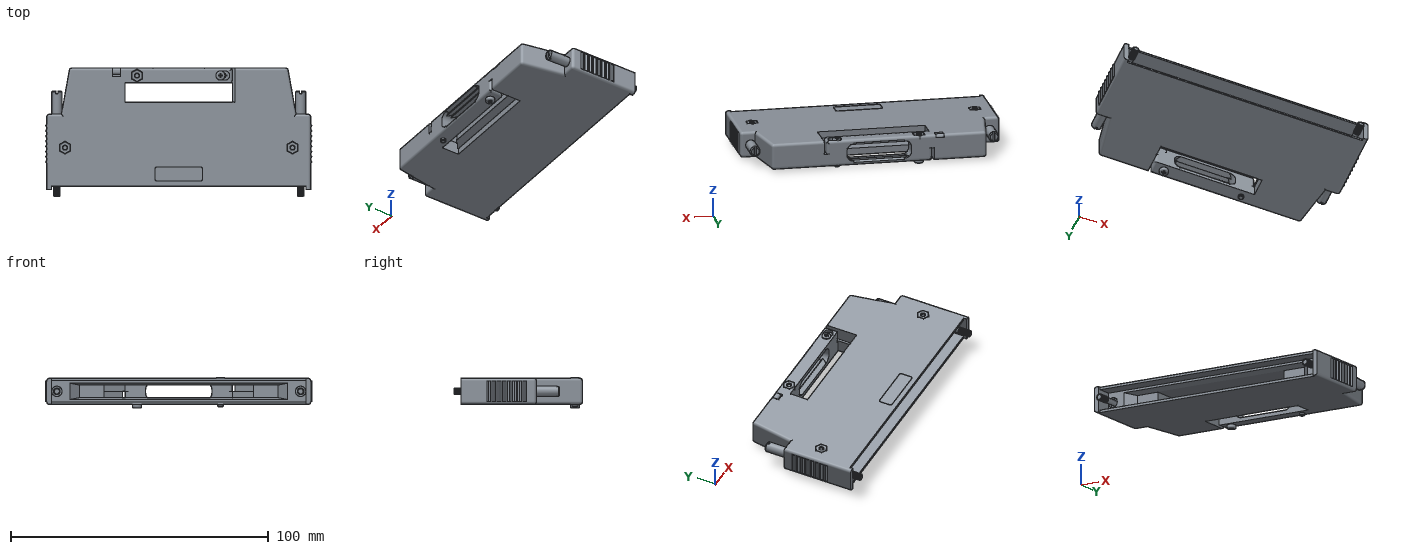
import cadquery as cq
import math


shell_height = 10.2
half_height = shell_height / 2
overall_width = 103.2
rib_height = 0.4
half_width = overall_width / 2 - rib_height
shell_depth = 45.9
shoulder_y = 28.0
neck_half_width = 45.5
back_half_width = 42.3
edge_radius = 1.1
cheek_thickness = 1.95
cheek_reach = 1.25

plate_thickness = 1.0
recess_depth = 6.0
recess_half_width = half_width - cheek_thickness
mouth_width = 84.4
mouth_height = 6.4
throat_width = 76.8
throat_height = 4.8
throat_y = 9.8
channel_half_width = 29.0
funnel_y = 28.0
funnel_end_y = 33.0

opening_front_y = 32.65
rail_front_y = 40.15
opening_near_x = 20.75
opening_far_x = 21.75
rail_radius = 1.0
window_width = 25.6
window_height = 7.0
window_corner_radius = 2.8
tooth_count = 2
tooth_pitch = 2.05
tooth_height = 0.6
teeth_start_y = 40.35
window_flare = 0.45

notch_center_x = -24.1
notch_width = 3.2
notch_front_y = 42.6
notch_floor_length = 0.7
notch_depth = 1.0
notch_lip_drop = 0.1

rib_count = 8
rib_pitch = 2.0
rib_base = 1.45
rib_middle_y = 16.5

label_width = 18.5
label_length = 5.4
label_center_y = 4.8
label_depth = 0.15
label_corner_radius = 0.8

jack_x = 47.25
jack_diameter = 4.0
jack_back_y = 37.05
jack_slot_width = 0.8
jack_slot_depth = 1.1
jack_chamfer = 0.5
jack_hole_depth = 2.0
shaft_diameter = 2.2
thread_diameter = 2.6
thread_root_diameter = 2.15
thread_pitch = 0.3
thread_turns = 15
jack_tip_y = -3.95
tip_chamfer = 0.3

nut_y = 15.0
nut_x = 44.1
nut_flats = 4.0
nut_pocket_flats = 4.35
nut_depth = 1.6
nut_bore = 1.95
nut_bore_depth = 0.8
bolt_end_diameter = 1.6
bolt_end_drop = 0.3

clamp_x = 16.2
clamp_y = 42.95
head_diameter = 3.6
head_height = 1.4
head_radius = 0.6
upper_head_rise = 0.3
slot_shift = 1.75
clamp_tip_diameter = 2.2
clamp_tip_length = 0.95
cross_length = 1.6
cross_width = 0.45
cross_depth = 0.6

overlap = 0.5


def box(x0, x1, y0, y1, z0, z1):
    """Axis-aligned block between the given limits."""
    return cq.Workplane("XY").box(x1 - x0, y1 - y0, z1 - z0, centered=False).translate((x0, y0, z0))


def other_half(shape):
    """Half a turn about Y, from one half shell to the other."""
    return shape.rotate((0, 0, 0), (0, 1, 0), 180)


def mirrored_pair(shape):
    """The shape together with its mirror image across X = 0."""
    return shape.union(shape.mirror("YZ"))


def shell_block():
    corners = [
        (-half_width, -cheek_reach),
        (-half_width, shoulder_y),
        (-neck_half_width, shoulder_y),
        (-back_half_width, shell_depth),
        (back_half_width, shell_depth),
        (neck_half_width, shoulder_y),
        (half_width, shoulder_y),
        (half_width, -cheek_reach),
    ]
    block = cq.Workplane("XY", origin=(0, 0, -half_height)).polyline(corners).close().extrude(shell_height)
    outer_corners = [
        (side * x, y)
        for side in (-1, 1)
        for x, y in ((half_width, shoulder_y), (back_half_width, shell_depth))
    ]
    for x, y in outer_corners:
        block = block.edges(cq.selectors.NearestToPointSelector((x, y, 0))).fillet(edge_radius)
    rims = block.faces("|Z").edges().filter(lambda edge: edge.Center().y > 0)
    block = block.newObject(rims.vals()).fillet(edge_radius)
    between_cheeks = box(
        -recess_half_width, recess_half_width, -cheek_reach, 0, -half_height, half_height
    )
    return block.cut(between_cheeks)


def front_recess():
    inner_half_height = half_height - plate_thickness
    return box(
        -recess_half_width, recess_half_width, -cheek_reach, recess_depth,
        -inner_half_height, inner_half_height,
    )


def cavity():
    mouth = (
        cq.Workplane("XZ", origin=(0, recess_depth, 0))
        .rect(mouth_width, mouth_height)
        .workplane(offset=-(throat_y - recess_depth))
        .rect(throat_width, throat_height)
        .loft(ruled=True)
    )
    outline = [
        (-channel_half_width, throat_y - overlap),
        (-channel_half_width, funnel_y),
        (-opening_near_x, funnel_end_y),
        (opening_far_x, funnel_end_y),
        (channel_half_width, funnel_y),
        (channel_half_width, throat_y - overlap),
    ]
    upper_channel = cq.Workplane("XY").polyline(outline).close().extrude(throat_height / 2)
    return mouth.union(upper_channel).union(other_half(upper_channel))


def upper_opening():
    """Opening of the upper half: the window in the plate and the gap at the free rail end."""
    plate_window = box(-opening_near_x, opening_far_x, opening_front_y, rail_front_y, 0, half_height)
    rail_bay = box(opening_near_x - 2 * rail_radius, opening_far_x, rail_front_y, shell_depth, 0, half_height)
    rail_end = box(
        opening_near_x - 3 * rail_radius, opening_near_x, rail_front_y, shell_depth, -half_height, half_height
    )
    rail_end = rail_end.faces(">X").edges("|Z or >Z").fillet(rail_radius)
    return plate_window.union(rail_bay.cut(rail_end))


def cable_window():
    length = shell_depth - rail_front_y + 2 * overlap
    window = (
        cq.Workplane("XZ", origin=(0, rail_front_y - overlap, 0))
        .rect(window_width, window_height).extrude(-length)
        .edges("|Y").fillet(window_corner_radius)
    )
    teeth = floor_teeth()
    flare = floor_flare()
    window = window.cut(teeth).cut(other_half(teeth))
    return window.union(flare).union(other_half(flare))


def floor_flare():
    """Sloped stretch of the window floor, from the last tooth down to the back face."""
    floor_z = -window_height / 2
    start_y = teeth_start_y + tooth_count * tooth_pitch
    width = window_width - 2 * window_corner_radius
    profile = [
        (start_y, floor_z + overlap),
        (start_y, floor_z),
        (shell_depth, floor_z - window_flare),
        (shell_depth, floor_z + overlap),
    ]
    return cq.Workplane("YZ", origin=(-width / 2, 0, 0)).polyline(profile).close().extrude(width)


def floor_teeth():
    """Sawtooth gripping the cable: each tooth rises toward the back and ends in an upright step."""
    floor_z = -window_height / 2
    teeth = cq.Workplane("XY")
    for index in range(tooth_count):
        start_y = teeth_start_y + index * tooth_pitch
        crest_y = start_y + tooth_pitch
        profile = [(start_y, floor_z), (crest_y, floor_z + tooth_height), (crest_y, floor_z)]
        tooth = cq.Workplane("YZ", origin=(-window_width / 2, 0, 0)).polyline(profile).close()
        teeth = teeth.union(tooth.extrude(window_width))
    return teeth


def latch_notch():
    """Notch of the upper half, with a rounded lip toward the back face."""
    floor_z = half_height - notch_depth
    lip_radius = notch_depth - notch_lip_drop
    lip_start_y = notch_front_y + notch_floor_length
    lip_end_y = lip_start_y + lip_radius
    lip_z = floor_z + lip_radius
    lip_bend = lip_radius * math.sqrt(0.5)
    back_radius = edge_radius - notch_lip_drop
    back_bend = back_radius * math.sqrt(0.5)
    back_center_y = shell_depth - edge_radius
    back_center_z = half_height - edge_radius
    return (
        cq.Workplane("YZ", origin=(notch_center_x - notch_width / 2, 0, 0))
        .moveTo(notch_front_y, half_height)
        .lineTo(notch_front_y, floor_z)
        .lineTo(lip_start_y, floor_z)
        .threePointArc(
            (lip_end_y - lip_bend, floor_z + lip_bend),
            (lip_end_y, lip_z),
        )
        .lineTo(back_center_y, lip_z)
        .threePointArc(
            (back_center_y + back_bend, back_center_z + back_bend),
            (back_center_y + back_radius, back_center_z),
        )
        .lineTo(shell_depth, back_center_z)
        .lineTo(shell_depth, half_height)
        .close().extrude(notch_width)
    )


def grip_ribs():
    height = shell_height - 2 * edge_radius
    ribs = cq.Workplane("XY")
    for index in range(rib_count):
        y = rib_middle_y + (index - (rib_count - 1) / 2) * rib_pitch
        profile = [
            (half_width - overlap, y - rib_base / 2),
            (half_width, y - rib_base / 2),
            (half_width + rib_height, y),
            (half_width, y + rib_base / 2),
            (half_width - overlap, y + rib_base / 2),
        ]
        rib = cq.Workplane("XY", origin=(0, 0, -height / 2)).polyline(profile).close().extrude(height)
        ribs = ribs.union(rib)
    return mirrored_pair(ribs)


def label_recess():
    return (
        box(
            -label_width / 2, label_width / 2,
            label_center_y - label_length / 2, label_center_y + label_length / 2,
            half_height - label_depth, half_height,
        )
        .edges("|Z").fillet(label_corner_radius)
    )


def hexagon(flats, x, y, depth):
    """Hexagonal block below the upper face, with corners pointing along Y."""
    return (
        cq.Workplane("XY", origin=(x, y, half_height - depth))
        .transformed(rotate=(0, 0, 90))
        .polygon(6, flats / math.cos(math.pi / 6)).extrude(depth)
    )


def disc(diameter, x, y, z0, z1):
    """Upright cylinder between two heights."""
    return cq.Workplane("XY", origin=(x, y, z0)).circle(diameter / 2).extrude(z1 - z0)


def nut_cut(x, y):
    """Gap around a nut, and its bore around the end of the bolt."""
    gap = hexagon(nut_pocket_flats, x, y, nut_depth).cut(hexagon(nut_flats, x, y, nut_depth))
    bore_floor = half_height - nut_bore_depth
    bore = disc(nut_bore, x, y, bore_floor, half_height)
    bolt_end = disc(bolt_end_diameter, x, y, bore_floor, half_height - bolt_end_drop)
    return gap.union(bore.cut(bolt_end))


def cross_cut(x, y, top):
    """Cross recess of a screw, sunk from the given height."""
    long_bar = cq.Workplane("XY").box(cross_length, cross_width, cross_depth)
    bars = long_bar.union(long_bar.rotate((0, 0, 0), (0, 0, 1), 90))
    return bars.translate((x, y, top - cross_depth / 2))


def screw_head(x, y, z0):
    head = disc(head_diameter, x, y, z0, z0 + head_height).faces(">Z").edges().fillet(head_radius)
    return head.cut(cross_cut(x, y, z0 + head_height))


def head_seat():
    """Oblong counterbore of the upper clamp screw."""
    depth = head_height - upper_head_rise
    floor_z = half_height - depth
    length = slot_shift + head_diameter
    seat = (
        cq.Workplane("XY", origin=(clamp_x + slot_shift / 2, clamp_y, floor_z))
        .slot2D(length, head_diameter).extrude(depth)
    )
    return seat.union(cross_cut(clamp_x + slot_shift, clamp_y, floor_z))


def clamp_screws():
    """Upper screw with its tip below the shell, and the head of the screw put in from below."""
    upper_head = screw_head(clamp_x, clamp_y, half_height + upper_head_rise - head_height)
    tip = disc(
        clamp_tip_diameter, clamp_x, clamp_y, -half_height - clamp_tip_length, overlap - half_height
    )
    tip = tip.faces("<Z").chamfer(tip_chamfer)
    lower_head = other_half(screw_head(clamp_x, clamp_y, half_height))
    return upper_head.union(tip).union(lower_head)


def jack_screw():
    """Jack screw at +X: slotted thumb end behind the shoulder, threaded end in front."""
    thumb = (
        cq.Workplane("XZ", origin=(jack_x, shoulder_y - overlap, 0))
        .circle(jack_diameter / 2).extrude(-(jack_back_y - shoulder_y + overlap))
        .faces(">Y").chamfer(jack_chamfer)
    )
    slot = box(
        jack_x - jack_slot_width / 2, jack_x + jack_slot_width / 2,
        jack_back_y - jack_slot_depth, jack_back_y, -jack_diameter, jack_diameter,
    )
    crest = thread_diameter / 2
    root = thread_root_diameter / 2
    shaft = shaft_diameter / 2
    thread_start_y = jack_tip_y + tip_chamfer
    thread_end_y = thread_start_y + thread_turns * thread_pitch
    profile = [(0, jack_tip_y), (crest - tip_chamfer, jack_tip_y), (crest, thread_start_y)]
    for turn in range(thread_turns):
        y = thread_start_y + turn * thread_pitch
        profile.append((root, y + thread_pitch / 2))
        profile.append((crest, y + thread_pitch))
    shaft_back_y = recess_depth + jack_hole_depth + overlap
    profile += [(shaft, thread_end_y), (shaft, shaft_back_y), (0, shaft_back_y)]
    front = cq.Workplane("XY").polyline(profile).close().revolve(360, (0, 0, 0), (0, 1, 0))
    return thumb.cut(slot).union(front.translate((jack_x, 0, 0)))


def jack_hole():
    return (
        cq.Workplane("XZ", origin=(jack_x, recess_depth, 0))
        .circle(jack_diameter / 2).extrude(-jack_hole_depth)
    )


body = shell_block().cut(front_recess()).cut(cavity())
opening = upper_opening()
body = body.cut(opening).cut(other_half(opening)).cut(cable_window())
body = body.cut(latch_notch()).cut(label_recess()).cut(head_seat()).cut(mirrored_pair(jack_hole()))
for x, y in ((-nut_x, nut_y), (nut_x, nut_y), (-clamp_x, clamp_y)):
    body = body.cut(nut_cut(x, y))
result = body.union(grip_ribs()).union(clamp_screws()).union(mirrored_pair(jack_screw()))